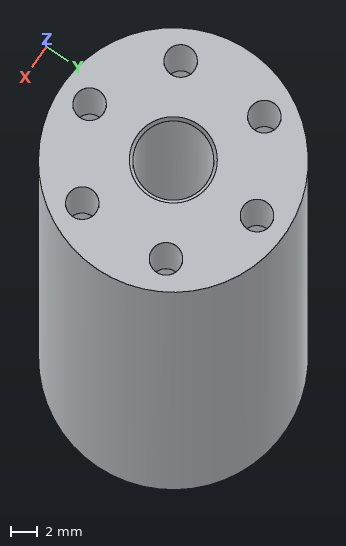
import cadquery as cq
import math

length = 75.0
outer_diameter = 20.0
bore_diameter = 6.0
bore_mouth_diameter = 6.5
bolt_circle_diameter = 15.0
bolt_hole_count = 6
bolt_hole_diameter = 2.5
bolt_hole_depth = 10.0
drill_point_angle = 118.0

bore_chamfer = (bore_mouth_diameter - bore_diameter) / 2


def tube():
    """Round bar with a through bore, chamfered at the top mouth."""
    bar = cq.Workplane("XY").circle(outer_diameter / 2).extrude(length)
    bored = bar.faces(">Z").workplane().hole(bore_diameter)
    return bored.faces(">Z").edges(cq.selectors.RadiusNthSelector(0)).chamfer(bore_chamfer)


def drilled_hole():
    """Blind hole cutter hanging down from the origin, with a conical drill point."""
    radius = bolt_hole_diameter / 2
    point_depth = radius / math.tan(math.radians(drill_point_angle / 2))
    half_profile = (
        cq.Workplane("XZ")
        .lineTo(radius, 0)
        .lineTo(radius, -bolt_hole_depth)
        .lineTo(0, -bolt_hole_depth - point_depth)
        .close()
    )
    return half_profile.revolve(360, (0, 0, 0), (0, 1, 0))


cutter = drilled_hole().val()
bolt_holes = (
    cq.Workplane("XY", origin=(0, 0, length))
    .polarArray(bolt_circle_diameter / 2, 90, 360, bolt_hole_count)
    .eachpoint(cutter, combine=False)
)

result = tube().cut(bolt_holes)